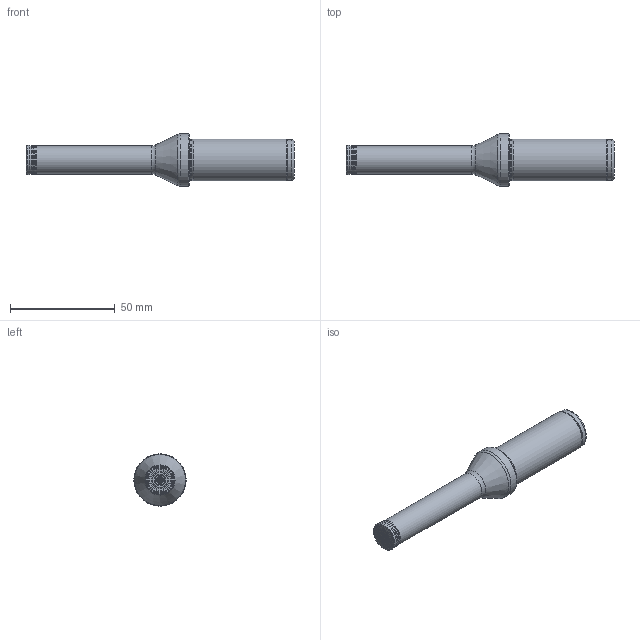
import cadquery as cq
import math

total_length = 128.0
shank_length = 50.0
neck_radius = 13.4 / 2
flange_radius = 25.0 / 2
shank_radius = 20.0 / 2
relief_radius = 19.5 / 2
relief_depth = shank_radius - relief_radius

head_radius = 14.0 / 2
head_length = 4.8

dimple_sphere_radius = 8.8
dimple_radius = 2.8
dimple_facet_radii = [0.5, 1.2, 1.86, 2.42]

flat_outer_radius = 3.6
dish_inner_radius = 3.85
dish_outer_radius = 5.55
dish_facet_radii = [4.25, 4.85]
dish_depth = 0.15
dish_rim_depth = 0.06

rim_facets = [(0.06, 5.75), (0.15, 6.2), (0.22, 6.6), (0.27, 6.85), (0.55, head_radius)]

front_band_facets = [(1.75, 6.95), (2.5, 6.87)]
waist = (2.9, 6.8)

rear_band_facets = [(3.6, 6.86), (4.0, 6.84), (4.4, 6.8)]

cone_start = 61.0
cone_end = 73.0
neck_fillet = 5.0
flange_fillet = 3.0
flange_back = total_length - shank_length
flange_chamfer = 0.4
cone_angle = math.atan2(flange_radius - neck_radius, cone_end - cone_start)

undercut_length = 2.0
undercut_fillet = 0.5
undercut_ramp_angle = math.radians(15)
undercut_end = flange_back + undercut_length
undercut_ramp_foot = undercut_end - relief_depth / math.tan(undercut_ramp_angle)

shank_end_length = 3.8
shank_end_ramp_angle = math.radians(20)
shank_end_ramp_fillet = 1.0
shank_end_fillet = 1.0
shank_end_start = total_length - shank_end_length
shank_end_ramp_foot = shank_end_start + relief_depth / math.tan(shank_end_ramp_angle)

RADIALLY_INWARD = -math.pi / 2
ALONG_AXIS = 0.0


def revolve_about_axis(outline):
    """Close a half outline in the XZ plane and turn it about the X axis."""
    return outline.close().revolve(360, (0, 0, 0), (1, 0, 0))


def line_to_rounded_corner(outline, corner, fillet, angle_in, angle_out):
    """Extend the outline to a rounded corner; the angles are its directions before and after it."""
    corner_x, corner_r = corner
    tangent_length = fillet * math.tan(abs(angle_out - angle_in) / 2)
    side = math.copysign(1, angle_out - angle_in)
    start = (
        corner_x - tangent_length * math.cos(angle_in),
        corner_r - tangent_length * math.sin(angle_in),
    )
    end = (
        corner_x + tangent_length * math.cos(angle_out),
        corner_r + tangent_length * math.sin(angle_out),
    )
    centre_x = start[0] - side * fillet * math.sin(angle_in)
    centre_r = start[1] + side * fillet * math.cos(angle_in)
    angle_mid = (angle_in + angle_out) / 2
    middle = (
        centre_x + side * fillet * math.sin(angle_mid),
        centre_r - side * fillet * math.cos(angle_mid),
    )
    return outline.lineTo(*start).threePointArc(middle, end)


def dimple_point(radius):
    """Point of the dimple's sphere at a radius; the dimple's edge lies at X = 0."""
    edge_height = math.sqrt(dimple_sphere_radius**2 - dimple_radius**2)
    return (math.sqrt(dimple_sphere_radius**2 - radius**2) - edge_height, radius)


def dish_point(radius):
    """Point of the parabolic dish, which is level at its inner edge and rises toward the rim."""
    share = (radius - dish_inner_radius) / (dish_outer_radius - dish_inner_radius)
    return (dish_depth - (dish_depth - dish_rim_depth) * share**2, radius)


def make_head():
    floor_radius = dimple_facet_radii[0]
    floor_x = dimple_point(floor_radius)[0]
    dimple = [dimple_point(radius) for radius in dimple_facet_radii + [dimple_radius]]
    dish_radii = [dish_inner_radius] + dish_facet_radii + [dish_outer_radius]
    dish = [dish_point(radius) for radius in dish_radii]
    face = [(floor_x, 0)] + dimple + [(0, flat_outer_radius)] + dish
    bands = rim_facets + front_band_facets + [waist] + rear_band_facets
    rear = [(head_length, neck_radius), (head_length, 0)]
    return revolve_about_axis(cq.Workplane("XZ").polyline(face + bands + rear))


def make_holder():
    outline = cq.Workplane("XZ").moveTo(head_length, 0).lineTo(head_length, neck_radius)

    outline = line_to_rounded_corner(
        outline, (cone_start, neck_radius), neck_fillet, ALONG_AXIS, cone_angle
    )
    outline = line_to_rounded_corner(
        outline, (cone_end, flange_radius), flange_fillet, cone_angle, ALONG_AXIS
    )
    outline = outline.lineTo(flange_back - flange_chamfer, flange_radius)
    outline = outline.lineTo(flange_back, flange_radius - flange_chamfer)

    outline = line_to_rounded_corner(
        outline, (flange_back, relief_radius), undercut_fillet, RADIALLY_INWARD, ALONG_AXIS
    )
    outline = line_to_rounded_corner(
        outline, (undercut_ramp_foot, relief_radius), undercut_fillet, ALONG_AXIS, undercut_ramp_angle
    )
    outline = outline.lineTo(undercut_end, shank_radius)
    outline = outline.lineTo(shank_end_start, shank_radius)

    outline = line_to_rounded_corner(
        outline,
        (shank_end_ramp_foot, relief_radius),
        shank_end_ramp_fillet,
        -shank_end_ramp_angle,
        ALONG_AXIS,
    )
    outline = line_to_rounded_corner(
        outline, (total_length, relief_radius), shank_end_fillet, ALONG_AXIS, RADIALLY_INWARD
    )
    return revolve_about_axis(outline.lineTo(total_length, 0))


head = make_head()
holder = make_holder()
result = cq.Compound.makeCompound([head.val(), holder.val()])